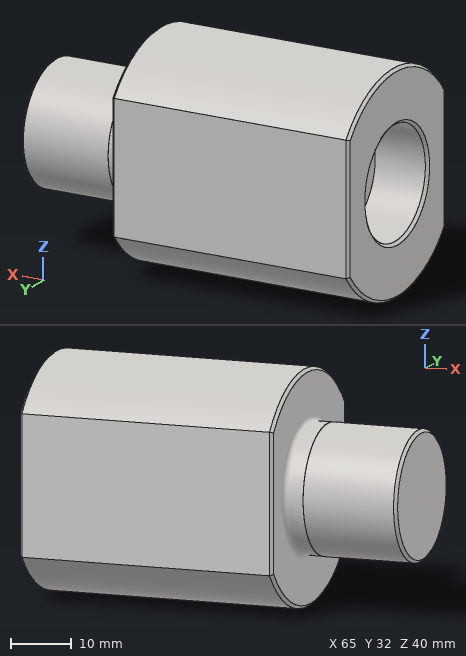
import cadquery as cq

total_length = 65.0
body_length = 45.0
body_diameter = 40.0
width_across_flats = 32.0

shank_diameter = 22.2
neck_diameter = 22.15
neck_end = 48.4
shoulder_fillet = 1.0

bore_diameter = 20.3
bore_depth = 10.0

edge_chamfer = 0.5


def cylinder_along_x(start, length, diameter):
    return cq.Workplane("YZ", origin=(start, 0, 0)).circle(diameter / 2).extrude(length)


def make_body():
    """Round body with two parallel flats and chamfered end faces."""
    flat_stock = cq.Workplane("XY").box(
        body_length, width_across_flats, body_diameter, centered=(False, True, True)
    )
    body = cylinder_along_x(0, body_length, body_diameter).intersect(flat_stock)
    return body.faces("<X or >X").edges().chamfer(edge_chamfer)


def make_shank():
    """Stepped shank with a chamfered free end."""
    neck = cylinder_along_x(body_length, neck_end - body_length, neck_diameter)
    shank = cylinder_along_x(neck_end, total_length - neck_end, shank_diameter)
    return neck.union(shank.faces(">X").edges().chamfer(edge_chamfer))


def make_shoulder_fillet():
    """Ring that rounds the inside corner between the shoulder and the neck."""
    neck_radius = neck_diameter / 2
    arc_end = (body_length + shoulder_fillet, neck_radius)
    arc_start = (body_length, neck_radius + shoulder_fillet)
    return (
        cq.Workplane("XY")
        .moveTo(body_length, 0)
        .lineTo(arc_end[0], 0)
        .lineTo(*arc_end)
        .radiusArc(arc_start, shoulder_fillet)
        .close()
        .revolve(360, (0, 0, 0), (1, 0, 0))
    )


def make_bore():
    """Flat-bottomed bore with a chamfered mouth."""
    bore_radius = bore_diameter / 2
    return (
        cq.Workplane("XY")
        .polyline(
            [
                (0, 0),
                (0, bore_radius + edge_chamfer),
                (edge_chamfer, bore_radius),
                (bore_depth, bore_radius),
                (bore_depth, 0),
            ]
        )
        .close()
        .revolve(360, (0, 0, 0), (1, 0, 0))
    )


result = make_body().union(make_shank()).union(make_shoulder_fillet()).cut(make_bore())